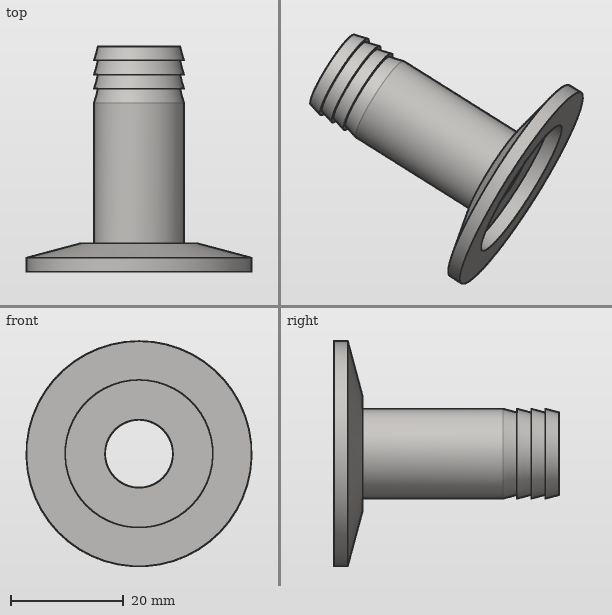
import cadquery as cq
import math

total_length = 40.0
flange_radius = 20.0
tube_radius = 8.0
bore_radius = 6.0
taper_angle = math.radians(15)

rim_thickness = 2.5
flange_thickness = 5.1
cone_top_radius = flange_radius - (flange_thickness - rim_thickness) / math.tan(taper_angle)
recess_radius = 13.1
recess_depth = 2.6

barb_count = 4
barb_pitch = 2.5
barb_tip_radius = tube_radius - barb_pitch * math.tan(taper_angle)
barb_start = total_length - barb_count * barb_pitch


def barb_points():
    """Sawtooth outline as (radius, Y) points, from the tube to the free end."""
    points = []
    for index in range(barb_count):
        base = barb_start + index * barb_pitch
        points.append((tube_radius, base))
        points.append((barb_tip_radius, base + barb_pitch))
    return points


def make_body():
    """Revolve the half section of the flange, barbed tube, recess and bore."""
    flange_outline = [
        (bore_radius, recess_depth),
        (recess_radius, recess_depth),
        (recess_radius, 0),
        (flange_radius, 0),
        (flange_radius, rim_thickness),
        (cone_top_radius, flange_thickness),
        (tube_radius, flange_thickness),
    ]
    tube_end = [(bore_radius, total_length)]
    outline = flange_outline + barb_points() + tube_end
    half_section = cq.Workplane("ZY").polyline(outline).close()
    return half_section.revolve(360, (0, 0, 0), (0, 1, 0))


result = make_body()